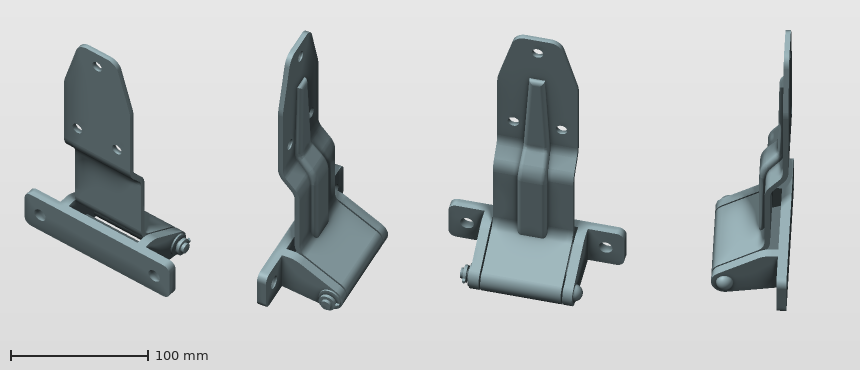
import cadquery as cq
import math

EYE_RADIUS = 10.0
PIVOT_Y = 56.0 - EYE_RADIUS
PIVOT_Z = EYE_RADIUS
PIN_RADIUS = 4.0
SLOPE_ANGLE = math.radians(30)
SLOPE_NORMAL = (math.sin(SLOPE_ANGLE), math.cos(SLOPE_ANGLE))

PLATE_WIDTH = 132.0
PLATE_THICKNESS = 7.3
PLATE_BOTTOM = 6.2
PLATE_TOP = 38.0
PLATE_CORNER_RADIUS = 6.0
PLATE_HOLE_DIAMETER = 10.3
PLATE_HOLE_SPACING = 104.0
CHEEK_GAP = 63.0
CHEEK_THICKNESS = 7.3
CHEEK_OUTSIDE = CHEEK_GAP / 2 + CHEEK_THICKNESS
CHEEK_BLEND_RADIUS = 20.0
WEB_END_Y = 30.8
WEB_ROOT_Z = 20.5
WEB_ANGLE = math.radians(21)
WEB_THICKNESS = 4.0
WEB_NOSE_RADIUS = 2.0

STRAP_WIDTH = 60.3
STRAP_THICKNESS = 4.0
STRAP_TOP = 220.0
STRAP_TOP_WIDTH = 33.9
SHOULDER_Z = 175.0
TIP_CORNER_RADIUS = 10.1
SHOULDER_RADIUS = 20.0
STRAP_HOLE_DIAMETER = 8.5
TIP_HOLE_Z = 207.0
SIDE_HOLE_Z = 132.2
SIDE_HOLE_SPACING = 36.0
JOGGLE_OFFSET = 13.5
JOGGLE_START_Z = 115.7
JOGGLE_ANGLE = math.radians(41)
JOGGLE_RADIUS = 11.0
TAIL_RADIUS = 10.0

RIB_HEIGHT = 4.8
RIB_TIP_HEIGHT = 3.7
RIB_TIP_Z = 180.2
RIB_TIP_WIDTH = 11.9
RIB_BASE_WIDTH = 22.5
RIB_EDGE_RADIUS = 3.5
BACK_NORMAL_MIN = 0.3

PIN_END_X = 46.9
HEAD_RADIUS = 6.4
HEAD_HEIGHT = 5.7
WASHER_RADIUS = 8.5
WASHER_THICKNESS = 1.3
CLIP_RADIUS = 6.5
CLIP_WIDTH = 2.5
CLIP_CENTRE_X = 43.1
CLIP_TAB_END_Y = 55.2
CLIP_TAB_HEIGHT = 2.2
CLIP_TAB_CHAMFER = 1.0

JOGGLE_OUTER_RADIUS = JOGGLE_RADIUS + STRAP_THICKNESS
JOGGLE_RADII_SUM = JOGGLE_RADIUS + JOGGLE_OUTER_RADIUS
JOGGLE_RUN = (JOGGLE_OFFSET - JOGGLE_RADII_SUM * (1 - math.cos(JOGGLE_ANGLE))) / math.sin(JOGGLE_ANGLE)
JOGGLE_END_Z = (JOGGLE_START_Z - JOGGLE_RADII_SUM * math.sin(JOGGLE_ANGLE)
                - JOGGLE_RUN * math.cos(JOGGLE_ANGLE))
UPPER_CENTRE = (JOGGLE_OUTER_RADIUS, JOGGLE_START_Z)
LOWER_CENTRE = (JOGGLE_OFFSET - JOGGLE_RADIUS, JOGGLE_END_Z)
TAIL_CENTRE_Y = JOGGLE_OFFSET + STRAP_THICKNESS + TAIL_RADIUS
TAIL_CENTRE_Z = PIVOT_Z + (EYE_RADIUS + TAIL_RADIUS
                           - (TAIL_CENTRE_Y - PIVOT_Y) * SLOPE_NORMAL[0]) / SLOPE_NORMAL[1]
TAIL_CENTRE = (TAIL_CENTRE_Y, TAIL_CENTRE_Z)


def on_circle(centre, radius, angle):
    """Point of a circle in the YZ plane, the angle measured from +Y towards +Z."""
    return (centre[0] + radius * math.cos(angle), centre[1] + radius * math.sin(angle))


def cylinder_x(radius, start, end):
    """Cylinder on the pivot axis between two X positions."""
    return (cq.Workplane("YZ", origin=(start, PIVOT_Y, PIVOT_Z))
            .circle(radius).extrude(end - start))


def extrude_centred(profile, width):
    """Extrude a closed YZ profile symmetrically about the X = 0 plane."""
    return profile.close().extrude(width / 2, both=True)


def mounting_plate():
    height = PLATE_TOP - PLATE_BOTTOM
    plate = (cq.Workplane("XY")
             .box(PLATE_WIDTH, PLATE_THICKNESS, height)
             .edges("|Y").fillet(PLATE_CORNER_RADIUS)
             .faces("<Y").workplane()
             .rarray(PLATE_HOLE_SPACING, 2.2, 2, 1).hole(PLATE_HOLE_DIAMETER))
    return plate.translate((0, PLATE_THICKNESS / 2, PLATE_BOTTOM + height / 2))


def cheek(inner_x):
    """Side cheek: a round nose on the pivot, tapering in from the plate."""
    pivot = (PIVOT_Y, PIVOT_Z)
    run = PIVOT_Y - PLATE_THICKNESS
    rise = PIVOT_Z - PLATE_BOTTOM
    bottom_angle = math.atan2(rise, run) - math.asin(EYE_RADIUS / math.hypot(run, rise))
    corner_y = PIVOT_Y + (EYE_RADIUS - (PLATE_TOP - PIVOT_Z) * SLOPE_NORMAL[1]) / SLOPE_NORMAL[0]
    blend_y = corner_y - CHEEK_BLEND_RADIUS * math.tan(SLOPE_ANGLE / 2)
    blend_centre = (blend_y, PLATE_TOP - CHEEK_BLEND_RADIUS)
    up = math.pi / 2
    profile = (cq.Workplane("YZ", origin=(inner_x, 0, 0))
               .moveTo(PLATE_THICKNESS, PLATE_BOTTOM)
               .lineTo(*on_circle(pivot, EYE_RADIUS, bottom_angle - up))
               .threePointArc(on_circle(pivot, EYE_RADIUS, 0),
                              on_circle(pivot, EYE_RADIUS, up - SLOPE_ANGLE))
               .lineTo(*on_circle(blend_centre, CHEEK_BLEND_RADIUS, up - SLOPE_ANGLE))
               .threePointArc(on_circle(blend_centre, CHEEK_BLEND_RADIUS, up - SLOPE_ANGLE / 2),
                              (blend_y, PLATE_TOP))
               .lineTo(PLATE_THICKNESS, PLATE_TOP)
               .close())
    return profile.extrude(CHEEK_THICKNESS)


def stop_web():
    """Sloping web that joins the cheeks behind the plate."""
    end_z = WEB_ROOT_Z - (WEB_END_Y - PLATE_THICKNESS) * math.tan(WEB_ANGLE)
    web = extrude_centred(cq.Workplane("YZ")
                          .moveTo(PLATE_THICKNESS, WEB_ROOT_Z)
                          .lineTo(WEB_END_Y, end_z)
                          .lineTo(WEB_END_Y, end_z - WEB_THICKNESS)
                          .lineTo(PLATE_THICKNESS, WEB_ROOT_Z - WEB_THICKNESS), CHEEK_GAP)
    return web.faces(">Y").edges(">Z").fillet(WEB_NOSE_RADIUS)


def make_bracket():
    body = mounting_plate().union(stop_web())
    for inner_x in (CHEEK_GAP / 2, -CHEEK_OUTSIDE):
        body = body.union(cheek(inner_x))
    return body.cut(cylinder_x(PIN_RADIUS, -CHEEK_OUTSIDE, CHEEK_OUTSIDE))


def joggle_back(profile, height):
    """Draw up the strap's back, offset outwards by `height`, from the lower flat to the upper one."""
    lower_radius = JOGGLE_OUTER_RADIUS + height
    upper_radius = JOGGLE_RADIUS - height
    half = JOGGLE_ANGLE / 2
    return (profile
            .lineTo(*on_circle(LOWER_CENTRE, lower_radius, 0))
            .threePointArc(on_circle(LOWER_CENTRE, lower_radius, half),
                           on_circle(LOWER_CENTRE, lower_radius, JOGGLE_ANGLE))
            .lineTo(*on_circle(UPPER_CENTRE, upper_radius, math.pi + JOGGLE_ANGLE))
            .threePointArc(on_circle(UPPER_CENTRE, upper_radius, math.pi + half),
                           on_circle(UPPER_CENTRE, upper_radius, math.pi)))


def joggle_front(profile, depth):
    """Draw down the strap's front, set in by `depth`, from the upper flat to the lower one."""
    upper_radius = JOGGLE_OUTER_RADIUS - depth
    lower_radius = JOGGLE_RADIUS + depth
    half = JOGGLE_ANGLE / 2
    return (profile
            .lineTo(*on_circle(UPPER_CENTRE, upper_radius, math.pi))
            .threePointArc(on_circle(UPPER_CENTRE, upper_radius, math.pi + half),
                           on_circle(UPPER_CENTRE, upper_radius, math.pi + JOGGLE_ANGLE))
            .lineTo(*on_circle(LOWER_CENTRE, lower_radius, JOGGLE_ANGLE))
            .threePointArc(on_circle(LOWER_CENTRE, lower_radius, half),
                           on_circle(LOWER_CENTRE, lower_radius, 0)))


def bent_sheet():
    pivot = (PIVOT_Y, PIVOT_Z)
    slope_direction = math.pi / 2 - SLOPE_ANGLE
    outer_radius = TAIL_RADIUS + STRAP_THICKNESS
    bend_end = math.pi + slope_direction
    bend_middle = math.pi + slope_direction / 2
    profile = joggle_front(cq.Workplane("YZ").moveTo(0, STRAP_TOP), 0)
    profile = (profile
               .lineTo(*on_circle(TAIL_CENTRE, outer_radius, math.pi))
               .threePointArc(on_circle(TAIL_CENTRE, outer_radius, bend_middle),
                              on_circle(TAIL_CENTRE, outer_radius, bend_end))
               .lineTo(*on_circle(pivot, EYE_RADIUS - STRAP_THICKNESS, slope_direction))
               .lineTo(*on_circle(pivot, EYE_RADIUS, slope_direction))
               .lineTo(*on_circle(TAIL_CENTRE, TAIL_RADIUS, bend_end))
               .threePointArc(on_circle(TAIL_CENTRE, TAIL_RADIUS, bend_middle),
                              on_circle(TAIL_CENTRE, TAIL_RADIUS, math.pi)))
    profile = joggle_back(profile, 0).lineTo(STRAP_THICKNESS, STRAP_TOP)
    return extrude_centred(profile, STRAP_WIDTH)


def strap_blank():
    """Outline of the strap in the XZ plane, as a block deeper than the bent sheet."""
    half_width = STRAP_WIDTH / 2
    half_top = STRAP_TOP_WIDTH / 2
    blank = (cq.Workplane("XZ")
             .polyline([(-half_width, 0), (half_width, 0), (half_width, SHOULDER_Z),
                        (half_top, STRAP_TOP), (-half_top, STRAP_TOP), (-half_width, SHOULDER_Z)])
             .close().extrude(-(PIVOT_Y + EYE_RADIUS)))
    return (blank.edges("|Y").edges(">>Z[-2]").fillet(SHOULDER_RADIUS)
            .edges("|Y").edges(">Z").fillet(TIP_CORNER_RADIUS))


def stiffening_rib():
    """Tapering rib raised from the strap's back, running out into the tail slope."""
    embed = STRAP_THICKNESS / 2
    back_y = JOGGLE_OFFSET + STRAP_THICKNESS + RIB_HEIGHT
    embed_radius = TAIL_RADIUS + embed
    foot_angle = math.acos((back_y - TAIL_CENTRE_Y - embed) / embed_radius)
    foot = on_circle(TAIL_CENTRE, embed_radius, -foot_angle)
    profile = cq.Workplane("YZ").moveTo(*foot).lineTo(back_y, foot[1])
    profile = (joggle_back(profile, RIB_HEIGHT)
               .lineTo(STRAP_THICKNESS + RIB_TIP_HEIGHT, RIB_TIP_Z)
               .lineTo(embed, RIB_TIP_Z))
    profile = joggle_front(profile, embed).lineTo(*on_circle(TAIL_CENTRE, embed_radius, math.pi))
    outline = (cq.Workplane("XZ")
               .polyline([(-RIB_BASE_WIDTH / 2, 0), (RIB_BASE_WIDTH / 2, 0),
                          (RIB_BASE_WIDTH / 2, JOGGLE_END_Z), (RIB_TIP_WIDTH / 2, RIB_TIP_Z),
                          (-RIB_TIP_WIDTH / 2, RIB_TIP_Z), (-RIB_BASE_WIDTH / 2, JOGGLE_END_Z)])
               .close().extrude(-PIVOT_Y))
    rib = extrude_centred(profile, RIB_BASE_WIDTH).intersect(outline)
    back_faces = rib.faces().filter(lambda face: face.normalAt().y > BACK_NORMAL_MIN)
    outer_edges = back_faces.edges("(not |X) or >Z")
    return outer_edges.fillet(RIB_EDGE_RADIUS)


def make_strap():
    body = bent_sheet().intersect(strap_blank()).union(stiffening_rib())
    body = body.union(cylinder_x(EYE_RADIUS, -STRAP_WIDTH / 2, STRAP_WIDTH / 2))
    hole_places = [(0, TIP_HOLE_Z), (-SIDE_HOLE_SPACING / 2, SIDE_HOLE_Z),
                   (SIDE_HOLE_SPACING / 2, SIDE_HOLE_Z)]
    holes = (cq.Workplane("XZ").pushPoints(hole_places)
             .circle(STRAP_HOLE_DIAMETER / 2).extrude(-STRAP_THICKNESS))
    return body.cut(holes).cut(cylinder_x(PIN_RADIUS, -STRAP_WIDTH / 2, STRAP_WIDTH / 2))


def make_pin():
    """Plain pin with a domed head bearing on the -X cheek."""
    dome_radius = (HEAD_RADIUS ** 2 + HEAD_HEIGHT ** 2) / (2 * HEAD_HEIGHT)
    dome_centre_x = dome_radius - HEAD_HEIGHT - CHEEK_OUTSIDE
    dome = (cq.Workplane("XY").sphere(dome_radius)
            .translate((dome_centre_x, PIVOT_Y, PIVOT_Z)))
    head = cylinder_x(HEAD_RADIUS, -CHEEK_OUTSIDE - HEAD_HEIGHT, -CHEEK_OUTSIDE).intersect(dome)
    return cylinder_x(PIN_RADIUS, -CHEEK_OUTSIDE, PIN_END_X).union(head)


def make_washer():
    end_x = CHEEK_OUTSIDE + WASHER_THICKNESS
    return (cylinder_x(WASHER_RADIUS, CHEEK_OUTSIDE, end_x)
            .cut(cylinder_x(PIN_RADIUS, CHEEK_OUTSIDE, end_x)))


def make_clip():
    """Ring around the pin with a chamfered tab pointing to +Y."""
    start_x = CLIP_CENTRE_X - CLIP_WIDTH / 2
    end_x = CLIP_CENTRE_X + CLIP_WIDTH / 2
    tab = (cq.Workplane("XY")
           .box(CLIP_WIDTH, CLIP_TAB_END_Y - PIVOT_Y, CLIP_TAB_HEIGHT, centered=(True, False, True))
           .edges(">Y and >X").chamfer(CLIP_TAB_CHAMFER)
           .translate((CLIP_CENTRE_X, PIVOT_Y, PIVOT_Z)))
    return (cylinder_x(CLIP_RADIUS, start_x, end_x).union(tab)
            .cut(cylinder_x(PIN_RADIUS, start_x, end_x)))


bracket = make_bracket()
strap = make_strap()
pin = make_pin()
washer = make_washer()
clip = make_clip()

result = cq.Compound.makeCompound([body.solids().val() for body in (bracket, strap, pin, washer, clip)])